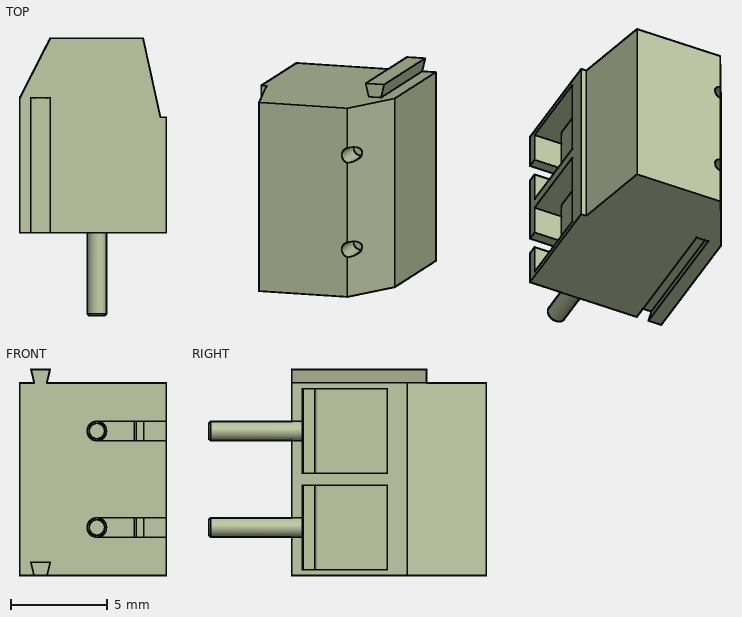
import cadquery as cq
import math

width = 7.6
pole_pitch = 5.0
pole_count = 2
height = pole_pitch * pole_count
housing_depth = 10.1
left_shoulder_y = 7.0
right_shoulder_y = 6.0
right_step = 0.3
back_left_x = 1.58
back_right_x = 6.4

rail_center_x = 1.08
rail_height = 0.7
rail_wide = 1.0
rail_narrow = 0.67
rail_length = left_shoulder_y

pin_radius = 0.5
pin_x = 4.0
pin_free_length = 4.3
pin_embedded_length = 3.0
pin_tip_chamfer = 0.1

slot_height = 2 * pin_radius
front_wall = 0.55

cavity_size = pole_pitch - 0.6
cavity_back_y = front_wall + cavity_size
bevel_start_x = 5.95
bevel_end_x = 6.03
bevel_angle = 30
ledge_y = 1.2
ledge_end_x = 6.44
ledge_round = 0.19

back_hole_radius = 0.4
back_hole_x = 1.49
back_hole_depth = 2.0

pole_heights = [pole_pitch * (i + 0.5) for i in range(pole_count)]


def housing_block():
    """Block with two slanted flanks and a small step on the right shoulder."""
    outline = [
        (0, 0),
        (width, 0),
        (width, right_shoulder_y),
        (width - right_step, right_shoulder_y),
        (back_right_x, housing_depth),
        (back_left_x, housing_depth),
        (0, left_shoulder_y),
    ]
    return cq.Workplane("XY").polyline(outline).close().extrude(height)


def dovetail(base_z):
    """Dovetail bar along Y, narrow edge at base_z and widening upward."""
    top_z = base_z + rail_height
    outline = [
        (rail_center_x - rail_narrow / 2, base_z),
        (rail_center_x + rail_narrow / 2, base_z),
        (rail_center_x + rail_wide / 2, top_z),
        (rail_center_x - rail_wide / 2, top_z),
    ]
    return cq.Workplane("XZ").polyline(outline).close().extrude(-rail_length)


def pin_slot(z):
    """Slot in the front wall running from the pin axis out to the +X side."""
    return cq.Workplane("XY").box(
        width - pin_x, front_wall, slot_height, centered=(False, False, True)
    ).translate((pin_x, 0, z))


def wire_cavity(z):
    """Wire entry pocket whose inner end has a bevel and a rounded ledge."""
    bevel_rise = (bevel_end_x - bevel_start_x) * math.tan(math.radians(bevel_angle))
    return (
        cq.Workplane("XY", origin=(0, 0, z - cavity_size / 2))
        .moveTo(width, front_wall)
        .lineTo(bevel_start_x, front_wall)
        .lineTo(bevel_end_x, front_wall + bevel_rise)
        .lineTo(bevel_end_x, ledge_y)
        .lineTo(ledge_end_x - ledge_round, ledge_y)
        .radiusArc((ledge_end_x, ledge_y + ledge_round), -ledge_round)
        .lineTo(ledge_end_x, cavity_back_y)
        .lineTo(width, cavity_back_y)
        .close()
        .extrude(cavity_size)
    )


def rod_along_y(radius, x, z, start_y, length):
    """Round rod starting at start_y and running toward +Y."""
    return cq.Workplane("XZ", origin=(x, start_y, z)).circle(radius).extrude(-length)


def make_housing():
    body = housing_block().union(dovetail(height)).cut(dovetail(0))
    for z in pole_heights:
        body = body.cut(pin_slot(z))
        body = body.cut(wire_cavity(z))
        body = body.cut(rod_along_y(pin_radius, pin_x, z, 0, pin_embedded_length))
        hole_start_y = housing_depth - back_hole_depth
        body = body.cut(rod_along_y(back_hole_radius, back_hole_x, z, hole_start_y, back_hole_depth))
    return body


def make_pin(z):
    """Round terminal pin with a chamfered free tip."""
    pin_length = pin_free_length + pin_embedded_length
    pin = rod_along_y(pin_radius, pin_x, z, -pin_free_length, pin_length)
    return pin.faces("<Y").chamfer(pin_tip_chamfer)


housing = make_housing()
pins = [make_pin(z) for z in pole_heights]

result = cq.Compound.makeCompound([housing.val(), *[pin.val() for pin in pins]])